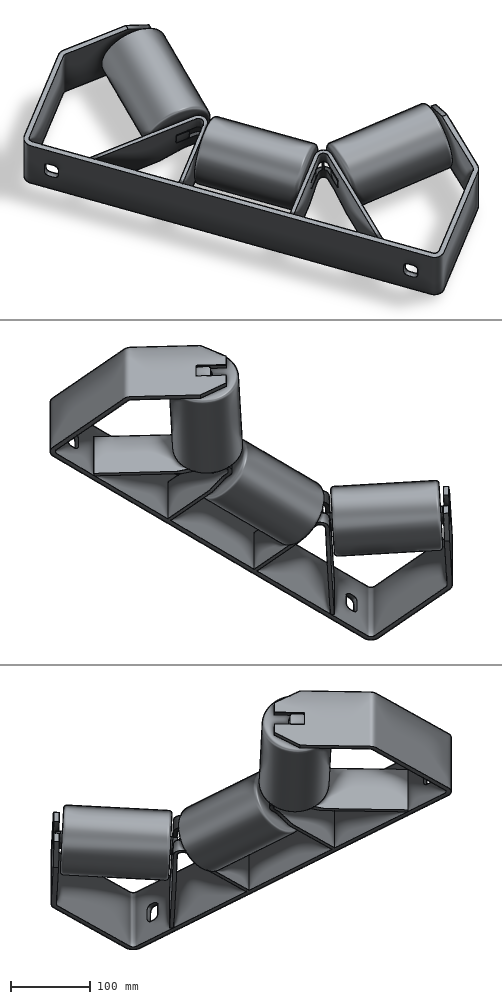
import cadquery as cq
import math


LENGTH = 560.0
STRIP_HEIGHT = 80.5
STRIP_THICKNESS = 7.0
STRIP_BEND = 13.0
WALL_TOP = 145.0
TIP_Y = 239.0
TIP_TAPER_RUN = 32.5
TIP_TAPER_RISE = 18.5

HOLE_X = 239.5
HOLE_Z = -1.0
HOLE_WIDTH = 18.5
HOLE_HEIGHT = 25.0
HOLE_CORNER = 7.0

BRACKET_THICKNESS = 5.0
BRACKET_BEND = 12.0
BRACKET_INNER_X = 71.5
BRACKET_BEND_Y = 116.5
BRACKET_TOP = 19.5
BRACKET_RELIEF_Y = 84.0
BRACKET_RELIEF_TOP_Y = 109.0
BRACKET_RELIEF_RISE = 8.0
SLANT_ROOT_DEPTH = 0.5

ROLLER_RADIUS = 44.0
ROLLER_LENGTH = 137.0
ROLLER_FILLET = 4.5
SHAFT_DIAMETER = 22.5
SHAFT_FLAT_HEIGHT = 16.0
SHAFT_FLAT_WIDTH = 18.5

SLOT_WIDTH = 17.5
SLOT_CORNER = 2.0
SLOT_REACH = 45.0
SLOT_DEPTH = 11.0

CENTRE_Y = 98.5
CENTRE_Z = -8.0
SIDE_X = 155.5
SIDE_Y = 162.5
SIDE_Z = -4.0
SIDE_TILT = 2.5
SIDE_COLLAR_END = 71.0
SIDE_SHAFT_END = 77.0

HALF_LENGTH = LENGTH / 2
STRIP_BOTTOM = -STRIP_HEIGHT / 2
DIAGONAL = math.sqrt(0.5)
BRACKET_BEND_X = BRACKET_INNER_X + BRACKET_BEND
CENTRE_COLLAR_END = BRACKET_INNER_X
CENTRE_SHAFT_END = BRACKET_INNER_X + BRACKET_THICKNESS
SLOT_X = (CENTRE_COLLAR_END + CENTRE_SHAFT_END) / 2


def polar(centre_x, centre_y, radius, degrees):
    """Point at a radius and angle from a centre."""
    angle = math.radians(degrees)
    return (centre_x + radius * math.cos(angle), centre_y + radius * math.sin(angle))


def mirrored_pair(body):
    """The body on the +X side together with its mirror image on the -X side."""
    return body.union(body.mirror("YZ"))



def half_strip():
    """The +X half of the bent strip, with its tapered wing tip."""
    inner_bend = STRIP_BEND - STRIP_THICKNESS
    bend_x = HALF_LENGTH - STRIP_BEND
    outer_start = polar(bend_x, WALL_TOP, STRIP_BEND, 45)
    inner_start = polar(bend_x, WALL_TOP, inner_bend, 45)
    wing = (TIP_Y - outer_start[1]) / DIAGONAL
    outer_tip = polar(*outer_start, wing, 135)
    inner_tip = polar(*inner_start, wing, 135)
    strip = (
        cq.Workplane("XY", origin=(0, 0, STRIP_BOTTOM))
        .moveTo(0, 0)
        .lineTo(bend_x, 0)
        .threePointArc(polar(bend_x, STRIP_BEND, STRIP_BEND, -45), (HALF_LENGTH, STRIP_BEND))
        .lineTo(HALF_LENGTH, WALL_TOP)
        .threePointArc(polar(bend_x, WALL_TOP, STRIP_BEND, 22.5), outer_start)
        .lineTo(*outer_tip)
        .lineTo(*inner_tip)
        .lineTo(*inner_start)
        .threePointArc(polar(bend_x, WALL_TOP, inner_bend, 22.5), (bend_x + inner_bend, WALL_TOP))
        .lineTo(bend_x + inner_bend, STRIP_BEND)
        .threePointArc(polar(bend_x, STRIP_BEND, inner_bend, -45), (bend_x, STRIP_THICKNESS))
        .lineTo(0, STRIP_THICKNESS)
        .close()
        .extrude(STRIP_HEIGHT)
    )
    wing_plane = cq.Plane(
        origin=(outer_tip[0], outer_tip[1], 0), xDir=(-1, 1, 0), normal=(1, 1, 0)
    )
    for side in (1, -1):
        edge = side * STRIP_HEIGHT / 2
        taper = (
            cq.Workplane(wing_plane)
            .polyline([(0, edge), (-TIP_TAPER_RUN, edge), (0, edge - side * TIP_TAPER_RISE)])
            .close()
            .extrude(STRIP_THICKNESS, both=True)
        )
        strip = strip.cut(taper)
    return strip


def mounting_hole():
    """Upright hole with large corner radii through the back of the strip."""
    return (
        cq.Workplane("XZ", origin=(HOLE_X, 0, HOLE_Z))
        .rect(HOLE_WIDTH, HOLE_HEIGHT)
        .extrude(-STRIP_THICKNESS)
        .edges("|Y")
        .fillet(HOLE_CORNER)
    )


def bracket():
    """Bracket on the +X side: straight leg, 135 degree bend and slanted leg."""
    inner_bend = BRACKET_BEND - BRACKET_THICKNESS
    outer_start = polar(BRACKET_BEND_X, BRACKET_BEND_Y, BRACKET_BEND, 45)
    inner_start = polar(BRACKET_BEND_X, BRACKET_BEND_Y, inner_bend, 45)
    slant = (inner_start[1] - STRIP_THICKNESS + SLANT_ROOT_DEPTH) / DIAGONAL
    blank = (
        cq.Workplane("XY", origin=(0, 0, STRIP_BOTTOM))
        .moveTo(BRACKET_INNER_X, STRIP_THICKNESS)
        .lineTo(BRACKET_INNER_X, BRACKET_BEND_Y)
        .threePointArc(polar(BRACKET_BEND_X, BRACKET_BEND_Y, BRACKET_BEND, 112.5), outer_start)
        .lineTo(*polar(*outer_start, slant, -45))
        .lineTo(*polar(*inner_start, slant, -45))
        .lineTo(*inner_start)
        .threePointArc(
            polar(BRACKET_BEND_X, BRACKET_BEND_Y, inner_bend, 112.5),
            (BRACKET_INNER_X + BRACKET_THICKNESS, BRACKET_BEND_Y),
        )
        .lineTo(BRACKET_INNER_X + BRACKET_THICKNESS, STRIP_THICKNESS)
        .close()
        .extrude(BRACKET_TOP - STRIP_BOTTOM)
    )
    relief_z = STRIP_BOTTOM + BRACKET_RELIEF_RISE
    relief = (
        cq.Workplane("YZ")
        .moveTo(BRACKET_RELIEF_Y, STRIP_BOTTOM)
        .lineTo(BRACKET_RELIEF_TOP_Y, relief_z)
        .lineTo(TIP_Y, relief_z)
        .lineTo(TIP_Y, STRIP_BOTTOM)
        .close()
        .extrude(HALF_LENGTH)
    )
    return blank.cut(relief)



def flatted_shaft(shaft_end):
    """Round shaft with flats, reaching shaft_end to either side of the origin."""
    flats = cq.Workplane("XY").box(2 * shaft_end, SHAFT_FLAT_WIDTH, SHAFT_FLAT_HEIGHT)
    round_bar = (
        cq.Workplane("YZ", origin=(-shaft_end, 0, 0))
        .circle(SHAFT_DIAMETER / 2)
        .extrude(2 * shaft_end)
    )
    return round_bar.intersect(flats)


def roller(collar_end, shaft_end):
    """Roller shell with rounded rims, round collars and flatted shaft ends."""
    shell = (
        cq.Workplane("YZ", origin=(-ROLLER_LENGTH / 2, 0, 0))
        .circle(ROLLER_RADIUS)
        .extrude(ROLLER_LENGTH)
        .edges()
        .fillet(ROLLER_FILLET)
    )
    collars = (
        cq.Workplane("YZ", origin=(-collar_end, 0, 0))
        .circle(SHAFT_DIAMETER / 2)
        .extrude(2 * collar_end)
    )
    return shell.union(collars).union(flatted_shaft(shaft_end))


def place_side(body):
    """Move a body from the origin to the place of the +X side roller."""
    return (
        body.rotate((0, 0, 0), (0, 1, 0), -SIDE_TILT)
        .rotate((0, 0, 0), (0, 0, 1), 45)
        .translate((SIDE_X, SIDE_Y, SIDE_Z))
    )


def place_centre(body):
    """Move a body from the origin to the place of the centre roller."""
    return body.translate((0, CENTRE_Y, CENTRE_Z))


def open_slot(direction):
    """Slot for one shaft end (direction -1 or 1 along X), open towards +Y."""
    return (
        cq.Workplane("XY", origin=(direction * SLOT_X, -SHAFT_FLAT_WIDTH / 2, 0))
        .box(SLOT_DEPTH, SLOT_REACH, SLOT_WIDTH, centered=(True, False, True))
        .edges("|X and <Y")
        .fillet(SLOT_CORNER)
    )


def frame():
    """Strip and brackets, slotted for the shafts, with the fixed centre roller."""
    half = half_strip().cut(mounting_hole()).union(bracket())
    half = half.cut(place_centre(open_slot(1)))
    for direction in (-1, 1):
        half = half.cut(place_side(open_slot(direction)))
    return mirrored_pair(half).union(place_centre(roller(CENTRE_COLLAR_END, CENTRE_SHAFT_END)))


carrier = frame()
right_roller = place_side(roller(SIDE_COLLAR_END, SIDE_SHAFT_END))
side_rollers = [right_roller, right_roller.mirror("YZ")]

result = cq.Compound.makeCompound([carrier.val(), *[body.val() for body in side_rollers]])